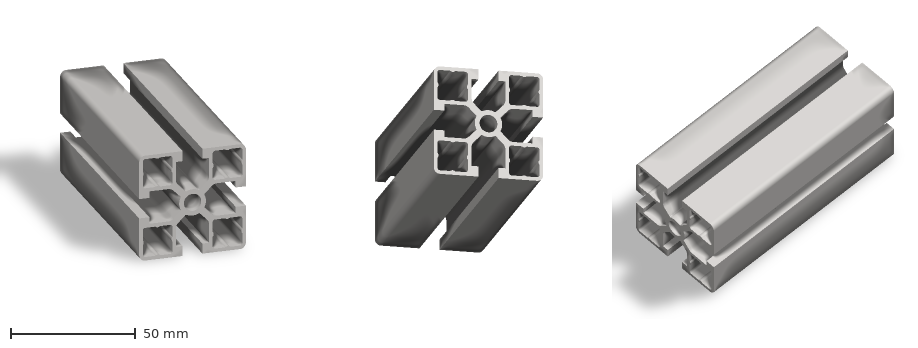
import cadquery as cq
import math

length = 100.0
side = 45.0
corner_radius = 2.5

mouth_width = 8.3
chamber_width = 13.9
lip_depth = 4.3

rib_thickness = 2.9
rib_bend_radius = 3.0
rib_root_radius = 0.4

hub_diameter = 11.3
bore_diameter = 7.3

wall = 1.5
cavity_size = 12.5
cavity_corner_radius = 1.0
bead_width = 2.0
bead_height = 0.4
bead_root_radius = 0.3

half_side = side / 2
hub_radius = hub_diameter / 2
half_cavity = cavity_size / 2
cavity_center = half_side - wall - half_cavity

rib_apex = rib_thickness / math.sqrt(2)


def cross_section():
    """Plane at the -X end of the bar: local x is Y and local y is Z."""
    return cq.Workplane("YZ", origin=(-length / 2, 0, 0))


def fillet_lengthwise_edge(body, y, z, radius):
    """Round the edge along X that lies nearest to the given Y and Z."""
    edge = cq.selectors.NearestToPointSelector((0, y, z))
    return body.edges("|X").edges(edge).fillet(radius)


def make_slot():
    """T-slot void opening towards +Z, narrowing between 45-degree rib faces down to the hub."""
    mouth = mouth_width / 2
    chamber = chamber_width / 2
    chamber_top = half_side - lip_depth
    chamber_bottom = chamber + rib_apex
    outline = [
        (mouth, half_side),
        (mouth, chamber_top),
        (chamber, chamber_top),
        (chamber, chamber_bottom),
        (0, rib_apex),
        (-chamber, chamber_bottom),
        (-chamber, chamber_top),
        (-mouth, chamber_top),
        (-mouth, half_side),
    ]
    slot = cross_section().polyline(outline).close().extrude(length)
    slot = slot.cut(cross_section().circle(hub_radius).extrude(length))

    root_y = (math.sqrt(2 * hub_radius**2 - rib_apex**2) - rib_apex) / 2
    root_z = root_y + rib_apex
    for sign in (-1, 1):
        slot = fillet_lengthwise_edge(slot, sign * root_y, root_z, rib_root_radius)
        slot = fillet_lengthwise_edge(slot, sign * chamber, chamber_bottom, rib_bend_radius)
    return slot


def make_cavity():
    """Square void of the corner post at +Y +Z, with a bead blended into each wall."""
    half_bead = bead_width / 2
    cavity = cross_section().rect(cavity_size, cavity_size).extrude(length)
    cavity = cavity.edges("|X").fillet(cavity_corner_radius)
    bead = (
        cross_section()
        .moveTo(-half_bead, -half_cavity)
        .threePointArc((0, bead_height - half_cavity), (half_bead, -half_cavity))
        .close()
        .extrude(length)
    )
    for quarter in range(4):
        cavity = cavity.cut(quarter_turns(bead, quarter))

    for along in (-half_bead, half_bead):
        for across in (-half_cavity, half_cavity):
            cavity = fillet_lengthwise_edge(cavity, along, across, bead_root_radius)
            cavity = fillet_lengthwise_edge(cavity, across, along, bead_root_radius)
    return cavity.translate((0, cavity_center, cavity_center))


def quarter_turns(body, count):
    """Turn a body about the X axis by a number of quarter turns."""
    return body.rotate((0, 0, 0), (1, 0, 0), 90 * count)


bar = cross_section().rect(side, side).extrude(length).edges("|X").fillet(corner_radius)
bar = bar.cut(cross_section().circle(bore_diameter / 2).extrude(length))

slot = make_slot()
cavity = make_cavity()
for quarter in range(4):
    bar = bar.cut(quarter_turns(slot, quarter))
    bar = bar.cut(quarter_turns(cavity, quarter))

result = bar